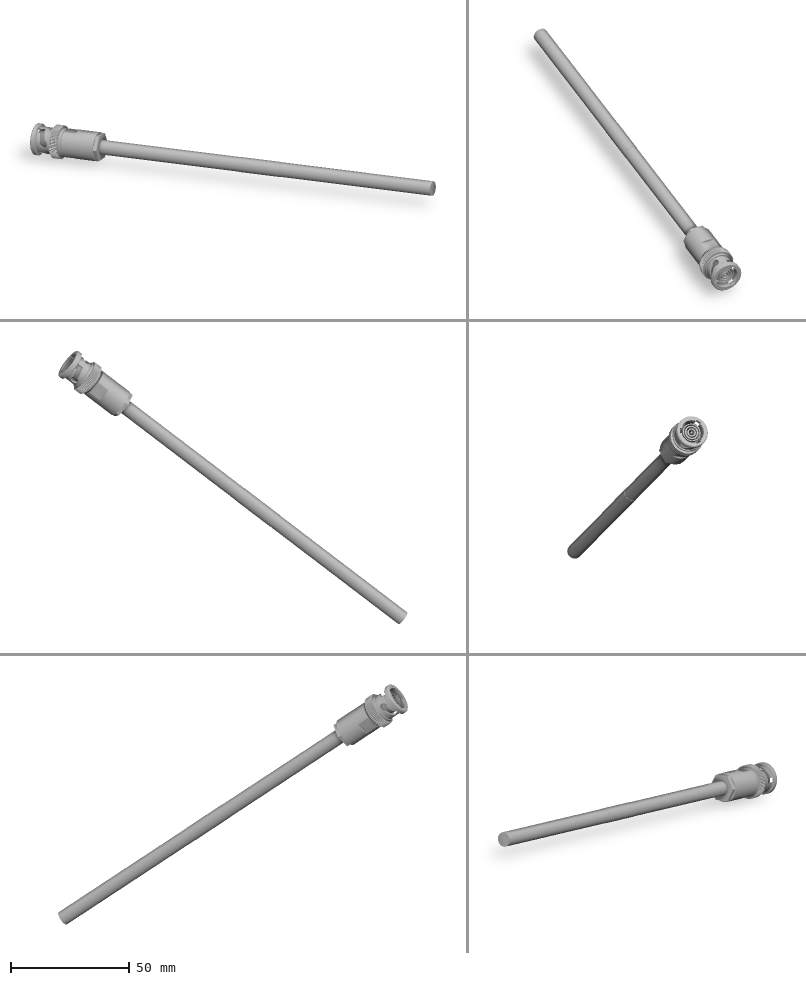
import cadquery as cq
import math

TOTAL_LENGTH = 183.1

RIM_RADIUS = 6.8
RIM_CHAMFER = 0.4
RIM_END = 2.0
NECK_RADIUS = 5.7
NECK_START = 2.4
SHOULDER_RADIUS = 6.2
SHOULDER_START = 8.0
KNURL_DIAMETER = 14.5
KNURL_RADIUS = KNURL_DIAMETER / 2
KNURL_DEPTH = 0.27
KNURL_START = 9.0
KNURL_END = 12.5
KNURL_COUNT = 72
SHOULDER_END = 13.2
COUPLING_BACK_RADIUS = 5.1
FRONT_BORE_RADIUS = 5.0
FRONT_BORE_DEPTH = 7.7

LUG_COUNT = 3
ENTRY_WIDTH = 2.2
ENTRY_RADIUS = 5.5
ENTRY_END = 5.1
RAMP_WIDTH = 2.0
LOCK_HOLE_X = 5.7
LOCK_HOLE_RADIUS = 1.6
LUG_TURN = 60.0

PLUG_START = 1.5
PLUG_RADIUS = 3.8
NECK_SEAT_RADIUS = 4.5
SLEEVE_START = 14.1
SLEEVE_END = 28.7
SLEEVE_RADIUS = 6.2
FLAT_HEIGHT = 5.5
FLAT_END = 19.6
SOCKET_RINGS = [(3.5, 3.0), (2.4, 1.8)]
SOCKET_DEPTH = 5.5
PIN_RADIUS = 0.45
PIN_BORE_RADIUS = 1.3

NUT_END = 30.4
HEX_SIDES = 6
HEX_TURN = 30
CABLE_RADIUS = 3.1
BAND_START = 94.1
BAND_END = 113.2
BAND_THICKNESS = 0.1


def cross_section(x):
    """Workplane square to the X axis, with +Z as its local x direction."""
    return cq.Workplane(cq.Plane((x, 0, 0), (0, 0, 1), (1, 0, 0)))


def disc(radius, start, end):
    """Solid cylinder on the X axis."""
    return cross_section(start).circle(radius).extrude(end - start)


def tube(outer_radius, inner_radius, start, end):
    """Hollow cylinder on the X axis."""
    return cross_section(start).circle(outer_radius).circle(inner_radius).extrude(end - start)


def radial_plane(angle):
    """Plane through the X axis that faces outward, turned from -Y toward +Z; local x is the X axis."""
    turn = math.radians(angle)
    return cq.Workplane(cq.Plane((0, 0, 0), (1, 0, 0), (0, -math.cos(turn), math.sin(turn))))


def lug_path(lock_angle):
    """Cutter for one bayonet path: entry groove, slanted slot and locking hole."""
    entry_angle = lock_angle + LUG_TURN
    groove = radial_plane(entry_angle).rect(2 * ENTRY_END, ENTRY_WIDTH).extrude(ENTRY_RADIUS)
    window_length = ENTRY_END - RIM_END
    window = (
        radial_plane(entry_angle)
        .center(RIM_END + window_length / 2, 0)
        .rect(window_length, ENTRY_WIDTH)
        .extrude(RIM_RADIUS)
    )
    ramp_start = ENTRY_END - RAMP_WIDTH / 2
    ramp_rise = 2 * NECK_RADIUS * math.sin(math.radians(LUG_TURN / 2))
    ramp_run = LOCK_HOLE_X - ramp_start
    ramp = (
        radial_plane(lock_angle + LUG_TURN / 2)
        .center((ramp_start + LOCK_HOLE_X) / 2, 0)
        .transformed(rotate=(0, 0, math.degrees(math.atan2(-ramp_rise, ramp_run))))
        .slot2D(math.hypot(ramp_rise, ramp_run) + RAMP_WIDTH, RAMP_WIDTH)
        .extrude(RIM_RADIUS)
    )
    lock_hole = radial_plane(lock_angle).center(LOCK_HOLE_X, 0).circle(LOCK_HOLE_RADIUS).extrude(RIM_RADIUS)
    return groove.union(window).union(ramp).union(lock_hole)


def knurled_grip():
    """Ring of straight V-shaped teeth."""
    points = []
    for step in range(2 * KNURL_COUNT):
        angle = math.pi * step / KNURL_COUNT
        radius = KNURL_RADIUS - KNURL_DEPTH * (step % 2)
        points.append((radius * math.cos(angle), radius * math.sin(angle)))
    grip = cross_section(KNURL_START).polyline(points).close()
    return grip.extrude(KNURL_END - KNURL_START)


def make_coupling():
    """Ring that turns on the body neck, with a wider bore around the plug."""
    profile = [
        (0, 0),
        (0, RIM_RADIUS - RIM_CHAMFER),
        (RIM_CHAMFER, RIM_RADIUS),
        (RIM_END, RIM_RADIUS),
        (NECK_START, NECK_RADIUS),
        (SHOULDER_START, NECK_RADIUS),
        (SHOULDER_START, SHOULDER_RADIUS),
        (SHOULDER_END, SHOULDER_RADIUS),
        (SLEEVE_START, COUPLING_BACK_RADIUS),
        (SLEEVE_START, 0),
    ]
    ring = cq.Workplane("XZ").polyline(profile).close().revolve(360, (0, 0, 0), (1, 0, 0))
    ring = ring.union(knurled_grip())
    ring = ring.cut(disc(NECK_SEAT_RADIUS, 0, SLEEVE_START))
    ring = ring.cut(disc(FRONT_BORE_RADIUS, 0, FRONT_BORE_DEPTH))
    for index in range(LUG_COUNT):
        ring = ring.cut(lug_path(index * 360 / LUG_COUNT))
    return ring


def make_body():
    """Plug, neck and flatted sleeve in one piece, with a pin left standing in the plug face."""
    body = disc(PLUG_RADIUS, PLUG_START, SLEEVE_START)
    body = body.union(disc(NECK_SEAT_RADIUS, FRONT_BORE_DEPTH, SLEEVE_START))
    sleeve = disc(SLEEVE_RADIUS, SLEEVE_START, SLEEVE_END)
    flat_length = FLAT_END - SLEEVE_START
    for side in (1, -1):
        flat_cut = cq.Workplane("XY").box(flat_length, 2 * SLEEVE_RADIUS, 2 * FLAT_HEIGHT)
        sleeve = sleeve.cut(flat_cut.translate((SLEEVE_START + flat_length / 2, 0, side * 2 * FLAT_HEIGHT)))
    body = body.union(sleeve)
    for outer_radius, inner_radius in SOCKET_RINGS:
        body = body.cut(tube(outer_radius, inner_radius, PLUG_START, PLUG_START + SOCKET_DEPTH))
    return body.cut(tube(PIN_BORE_RADIUS, PIN_RADIUS, PLUG_START, PLUG_START + SOCKET_DEPTH))


def make_nut():
    """Hexagonal nut, with the cable passing through it up to the sleeve."""
    length = NUT_END - SLEEVE_END
    turned_section = cross_section(SLEEVE_END).transformed(rotate=(0, 0, HEX_TURN))
    hexagon = turned_section.polygon(HEX_SIDES, 2 * SLEEVE_RADIUS).extrude(length)
    return hexagon.cut(disc(CABLE_RADIUS, SLEEVE_END, NUT_END))


def make_band():
    """Thin sleeve around the cable."""
    return tube(CABLE_RADIUS + BAND_THICKNESS, CABLE_RADIUS, BAND_START, BAND_END)


def make_cable():
    """Plain round cable that butts against the sleeve."""
    return disc(CABLE_RADIUS, SLEEVE_END, TOTAL_LENGTH)


coupling = make_coupling()
body = make_body()
nut = make_nut()
band = make_band()
cable = make_cable()

result = cq.Compound.makeCompound([coupling.val(), body.val(), nut.val(), band.val(), cable.val()])